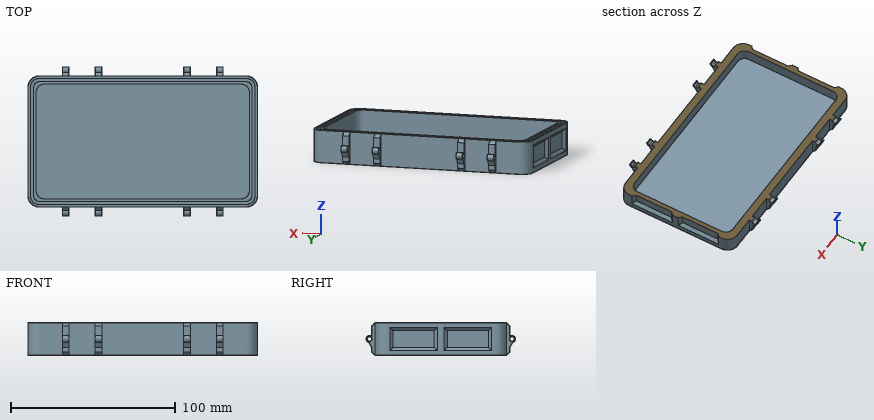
import cadquery as cq
import math

length = 140.0
width = 80.0
height = 20.0
corner_radius = 7.0
wall = 5.0
floor = 3.0
cavity_radius = 4.9

groove_inset = 1.5
groove_width = 2.0
groove_depth = 2.0

panel_length = 29.0
panel_height = 14.0
panel_gap = 4.0
panel_slope_run = 2.0
panel_depth = 2.0

overall_width = 91.0
lug_width = 4.0
lug_plate = 2.1
lug_chamfer_height = 2.1
lug_pair_offset = 37.0
lug_spacing = 20.0
eye_diameter = 4.2
pin_diameter = 2.8
eye_height = height / 2
web_foot_height = 4.9
web_tip_offset = 0.5


def rounded_block(inset, radius, bottom):
    """Rounded block, inset from the body sides, from the given height to the rim."""
    return (
        cq.Workplane("XY", origin=(0, 0, bottom))
        .rect(length - 2 * inset, width - 2 * inset)
        .extrude(height - bottom)
        .edges("|Z")
        .fillet(radius)
    )


def make_body():
    """Open box with a rounded cavity."""
    body = rounded_block(0, corner_radius, 0)
    return body.cut(rounded_block(wall, cavity_radius, floor))


def make_seal_groove():
    """Ring-shaped cutter for the groove around the rim."""
    bottom = height - groove_depth
    inner_inset = groove_inset + groove_width
    outer = rounded_block(groove_inset, corner_radius - groove_inset, bottom)
    return outer.cut(rounded_block(inner_inset, corner_radius - inner_inset, bottom))


def make_panel(y):
    """Tapered recess in the -X end wall, centred at the given Y."""
    taper = math.degrees(math.atan2(panel_slope_run, panel_depth))
    return (
        cq.Workplane("YZ", origin=(-length / 2, y, height / 2))
        .rect(panel_length, panel_height)
        .extrude(panel_depth, taper=taper)
    )


def make_lug(x):
    """Hinge lug on the +Y side, centred at the given X: chamfered plate, web and pin eye."""
    side = width / 2
    root = side - groove_inset / 2
    face = side + lug_plate
    eye_radius = eye_diameter / 2
    eye_y = overall_width / 2 - eye_radius
    web_tip_y = eye_y + web_tip_offset
    web_tip_z = eye_height - math.sqrt(eye_radius**2 - web_tip_offset**2)

    plane = cq.Workplane("YZ", origin=(x - lug_width / 2, 0, 0))
    plate_and_web = (
        plane.moveTo(root, 0)
        .lineTo(side, 0)
        .lineTo(face, lug_chamfer_height)
        .lineTo(face, web_foot_height)
        .lineTo(web_tip_y, web_tip_z)
        .lineTo(eye_y, eye_height)
        .lineTo(face, eye_height)
        .lineTo(face, height - lug_chamfer_height)
        .lineTo(side, height)
        .lineTo(root, height)
        .close()
        .extrude(lug_width)
    )
    eye = plane.center(eye_y, eye_height).circle(eye_radius).extrude(lug_width)
    pin_hole = plane.center(eye_y, eye_height).circle(pin_diameter / 2).extrude(lug_width)
    return plate_and_web.union(eye).cut(pin_hole)


result = make_body().cut(make_seal_groove())

for pair_side in (-1, 1):
    for lug_side in (-1, 1):
        lug = make_lug(pair_side * lug_pair_offset + lug_side * lug_spacing / 2)
        result = result.union(lug).union(lug.mirror("XZ"))

for panel_side in (-1, 1):
    panel = make_panel(panel_side * (panel_length + panel_gap) / 2)
    result = result.cut(panel).cut(panel.mirror("YZ"))